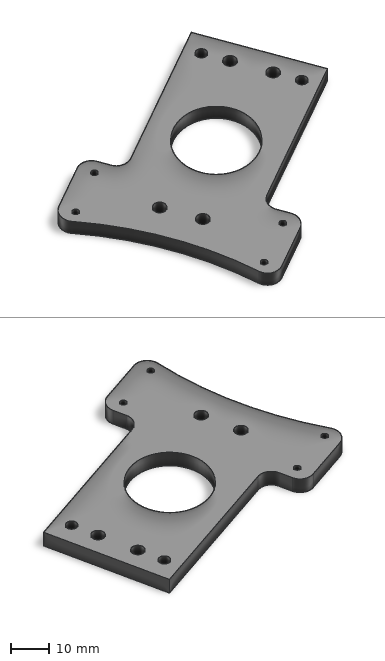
import cadquery as cq
import math

length = 73.3
foot_width = 62.2
stem_width = 38.0
thickness = 4.8
shoulder_y = 22.2
corner_radius = 4.0
arch_top_y = 3.3

bore_diameter = 24.0
bore_y = 39.75
bolt_diameter = 3.8
bolt_x = 6.0
upper_row_y = 67.25
lower_row_y = 12.5
pin_diameter = 3.3
pin_x = 14.0
foot_hole_diameter = 2.0
foot_hole_x = 26.25
foot_hole_low_y = 3.6
foot_hole_high_y = 18.2

half_foot = foot_width / 2
half_stem = stem_width / 2
corner_x = half_foot - corner_radius
corner_rise = corner_radius - arch_top_y
arch_radius = (corner_x**2 + corner_rise**2 - corner_radius**2) / (2 * (corner_radius - corner_rise))
arch_center_y = arch_top_y - arch_radius
tangent_fraction = arch_radius / (arch_radius + corner_radius)
tangent_x = corner_x * tangent_fraction
tangent_y = arch_center_y + (corner_radius - arch_center_y) * tangent_fraction

diagonal = corner_radius * math.sqrt(0.5)


def make_half_plate():
    """Right half of the T-shaped plate, from the center line outward."""
    corner_angle = math.atan2(tangent_y - corner_radius, tangent_x - corner_x)
    middle_angle = corner_angle / 2
    arch_middle_x = tangent_x / 2
    arch_middle_y = arch_center_y + math.sqrt(arch_radius**2 - arch_middle_x**2)
    upper_corner_y = shoulder_y - corner_radius
    inner_x = half_stem + corner_radius
    inner_y = shoulder_y + corner_radius
    return (
        cq.Workplane("XY")
        .moveTo(0, arch_top_y)
        .threePointArc((arch_middle_x, arch_middle_y), (tangent_x, tangent_y))
        .threePointArc(
            (
                corner_x + corner_radius * math.cos(middle_angle),
                corner_radius + corner_radius * math.sin(middle_angle),
            ),
            (half_foot, corner_radius),
        )
        .lineTo(half_foot, upper_corner_y)
        .threePointArc((corner_x + diagonal, upper_corner_y + diagonal), (corner_x, shoulder_y))
        .lineTo(inner_x, shoulder_y)
        .threePointArc((inner_x - diagonal, inner_y - diagonal), (half_stem, inner_y))
        .lineTo(half_stem, length)
        .lineTo(0, length)
        .close()
        .extrude(thickness)
    )


def mirrored_points(x, *rows):
    """Points at plus and minus x on each row."""
    return [(side * x, y) for y in rows for side in (-1, 1)]


def drill(plate, diameter, points):
    """Cut through holes at the given points."""
    cutters = cq.Workplane("XY").pushPoints(points).circle(diameter / 2).extrude(thickness)
    return plate.cut(cutters)


half_plate = make_half_plate()
plate = half_plate.union(half_plate.mirror("YZ")).clean()

plate = drill(plate, bore_diameter, [(0, bore_y)])
plate = drill(plate, bolt_diameter, mirrored_points(bolt_x, upper_row_y, lower_row_y))
plate = drill(plate, pin_diameter, mirrored_points(pin_x, upper_row_y))
plate = drill(plate, foot_hole_diameter, mirrored_points(foot_hole_x, foot_hole_low_y, foot_hole_high_y))

result = plate